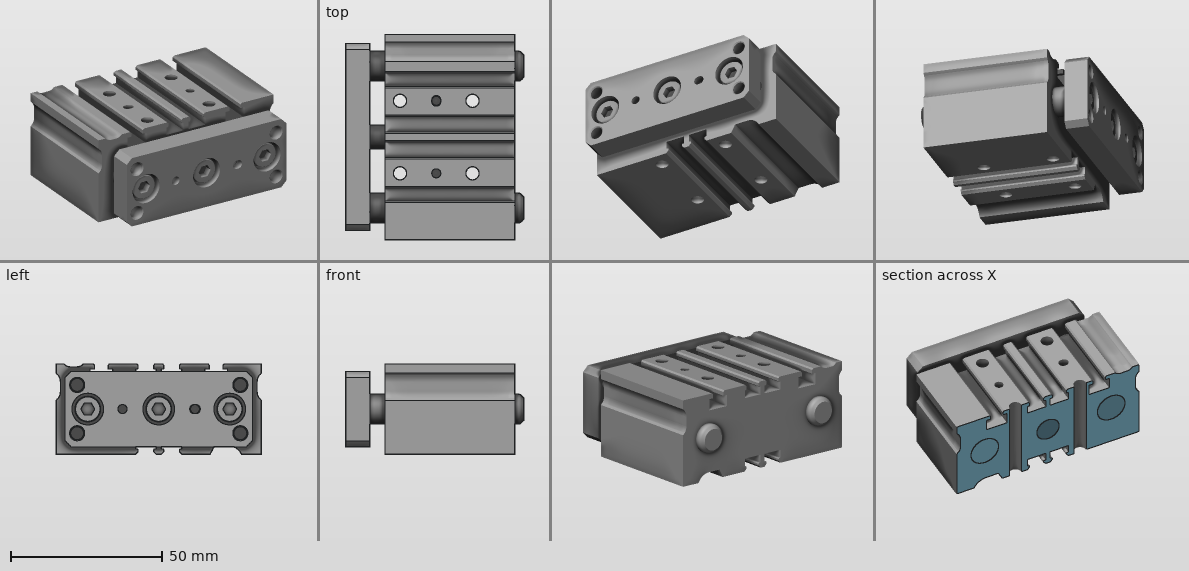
import cadquery as cq
import math


plate_thickness = 8.0
plate_gap = 5.0
housing_length = 43.0
housing_width = 68.0
housing_height = 30.0
guide_projection = 3.0

housing_front = plate_thickness + plate_gap
housing_back = housing_front + housing_length
guide_back = housing_back + guide_projection
half_width = housing_width / 2
axis_z = housing_height / 2

lip_thickness = 1.8
lip_top_chamfer = 0.5
lip_bottom_chamfer = 0.9
lip_inner_chamfer = 0.3
outer_slot_y = 19.0
outer_slot_mouth = 4.4
outer_slot_width = 7.4
outer_slot_depth = 5.7
inner_slot_y = 4.25
inner_slot_mouth = 5.1
inner_slot_width = 6.7
inner_slot_depth = 4.5

top_groove_y = 28.2
top_groove_width = 6.4
top_groove_floor = 2.3
top_groove_depth = 1.0

side_groove_z = 22.4
side_groove_height = 9.0
side_groove_floor = 3.4
side_groove_depth = 1.4
side_groove_chamfer = 0.75

bottom_groove_near_y = -17.0
bottom_groove_far_y = -27.4
bottom_groove_depth = 2.85
bottom_groove_near_run = 1.5
bottom_groove_far_run = 4.4

hole_row_y = 12.0
mount_hole_diameter = 4.3
mount_hole_pitch = 24.0
first_mount_hole_x = housing_front + 5.0
pin_diameter = 3.0
pin_slot_length = 3.5
pin_slot_depth = 3.0
pin_hole_depth = 5.0

plate_width = 62.0
plate_height = 25.0
plate_chamfer = 2.0
corner_hole_y = 27.0
corner_hole_offset_z = 8.0
corner_hole_diameter = 4.3
corner_hole_chamfer = 0.35

guide_y = 23.5
guide_diameter = 10.0
piston_rod_diameter = 8.0
piston_rod_insertion = 33.0
end_straight = 1.0
end_chamfer = 0.8
counterbore_diameter = 10.5
counterbore_depth = 5.0
shank_diameter = 5.0
head_diameter = 8.5
head_chamfer = 0.2
head_recess = 1.3
hex_across_flats = 4.0
hex_depth = 2.5


def across(x):
    """Plane across the X axis: local x is Y, local y is Z, extruding toward +X."""
    return cq.Workplane("YZ", origin=(x, 0, 0))


def along_housing(outline):
    """Extrude a closed outline in Y and Z over the housing length."""
    return outline.close().extrude(housing_length)


def t_slot(center_y, mouth, width, slot_depth, edge_chamfer, inner_chamfer, from_bottom=False):
    """T-shaped slot with chamfered lips, open at the top or bottom of the housing."""
    inner_lip = lip_thickness - inner_chamfer
    half = [
        (mouth / 2 + edge_chamfer, 0),
        (mouth / 2, edge_chamfer),
        (mouth / 2, inner_lip),
        (mouth / 2 + inner_chamfer, lip_thickness),
        (width / 2, lip_thickness),
        (width / 2, slot_depth),
    ]
    if inner_chamfer == 0:
        half.pop(3)
    both = half + [(-y, depth) for y, depth in reversed(half)]
    points = [
        (center_y + y, depth if from_bottom else housing_height - depth)
        for y, depth in both
    ]
    return along_housing(across(housing_front).polyline(points))


def arc_radius(run, rise):
    """Radius of an arc that starts along the run direction and covers run and rise."""
    return (run**2 + rise**2) / (2 * rise)


def arc_middle(run, rise):
    """Middle point, as run and rise, of the arc described by arc_radius."""
    radius = arc_radius(run, rise)
    half_angle = math.asin(run / radius) / 2
    return radius * math.sin(half_angle), radius * (1 - math.cos(half_angle))


def top_groove():
    """Shallow groove with a flat floor and curved sides in the top face."""
    floor = top_groove_floor / 2
    mouth = top_groove_width / 2
    floor_z = housing_height - top_groove_depth
    run, rise = arc_middle(mouth - floor, top_groove_depth)
    return along_housing(
        across(housing_front)
        .moveTo(top_groove_y - mouth, housing_height)
        .threePointArc((top_groove_y - floor - run, floor_z + rise), (top_groove_y - floor, floor_z))
        .lineTo(top_groove_y + floor, floor_z)
        .threePointArc((top_groove_y + floor + run, floor_z + rise), (top_groove_y + mouth, housing_height))
    )


def side_groove():
    """Groove in the -Y side with a flat floor, curved sides and chamfered edges."""
    mouth = side_groove_height / 2
    floor = side_groove_floor / 2
    bend = mouth - side_groove_chamfer
    floor_y = side_groove_depth - half_width
    bend_y = side_groove_chamfer - half_width
    run, rise = arc_middle(bend - floor, side_groove_depth - side_groove_chamfer)
    return along_housing(
        across(housing_front)
        .moveTo(-half_width, side_groove_z - mouth)
        .lineTo(bend_y, side_groove_z - bend)
        .threePointArc((floor_y - rise, side_groove_z - floor - run), (floor_y, side_groove_z - floor))
        .lineTo(floor_y, side_groove_z + floor)
        .threePointArc((floor_y - rise, side_groove_z + floor + run), (bend_y, side_groove_z + bend))
        .lineTo(-half_width, side_groove_z + mouth)
    )


def bottom_groove():
    """Groove in the underside: one sloping wall, a flat floor and one curved wall."""
    floor_end_y = bottom_groove_far_y + bottom_groove_far_run
    run, rise = arc_middle(bottom_groove_far_run, bottom_groove_depth)
    return along_housing(
        across(housing_front)
        .moveTo(bottom_groove_near_y, 0)
        .lineTo(bottom_groove_near_y - bottom_groove_near_run, bottom_groove_depth)
        .lineTo(floor_end_y, bottom_groove_depth)
        .threePointArc((floor_end_y - run, bottom_groove_depth - rise), (bottom_groove_far_y, 0))
    )


def make_housing():
    housing = across(housing_front).center(0, axis_z).rect(housing_width, housing_height)
    housing = housing.extrude(housing_length)

    for side in (-1, 1):
        outer_y = side * outer_slot_y
        inner_y = side * inner_slot_y
        housing = housing.cut(
            t_slot(outer_y, outer_slot_mouth, outer_slot_width, outer_slot_depth, lip_top_chamfer, 0)
        )
        for edge_chamfer, from_bottom in ((lip_top_chamfer, False), (lip_bottom_chamfer, True)):
            housing = housing.cut(
                t_slot(
                    inner_y,
                    inner_slot_mouth,
                    inner_slot_width,
                    inner_slot_depth,
                    edge_chamfer,
                    lip_inner_chamfer,
                    from_bottom,
                )
            )
    groove = side_groove()
    housing = housing.cut(groove).cut(groove.mirror("XZ"))
    housing = housing.cut(top_groove()).cut(bottom_groove())

    top = cq.Workplane("XY", origin=(0, 0, housing_height))
    last_mount_hole_x = first_mount_hole_x + mount_hole_pitch
    mount_points = [(x, y) for x in (first_mount_hole_x, last_mount_hole_x) for y in (-hole_row_y, hole_row_y)]
    housing = housing.cut(
        top.pushPoints(mount_points).circle(mount_hole_diameter / 2).extrude(-housing_height)
    )

    pin_x = first_mount_hole_x + mount_hole_pitch / 2
    pin_holes = top.pushPoints([(pin_x, -hole_row_y), (pin_x, hole_row_y)]).circle(pin_diameter / 2)
    housing = housing.cut(pin_holes.extrude(-pin_hole_depth))
    pin_slot = top.center(pin_x, hole_row_y).slot2D(pin_slot_length, pin_diameter, 90)
    housing = housing.cut(pin_slot.extrude(-pin_slot_depth))

    guide_bores = across(housing_front).pushPoints([(-guide_y, axis_z), (guide_y, axis_z)])
    housing = housing.cut(guide_bores.circle(guide_diameter / 2).extrude(housing_length))
    piston_bore = across(housing_front).center(0, axis_z).circle(piston_rod_diameter / 2)
    return housing.cut(piston_bore.extrude(piston_rod_insertion))


def make_plate():
    plate = across(0).center(0, axis_z).rect(plate_width, plate_height).extrude(plate_thickness)
    plate = plate.edges("|X").chamfer(plate_chamfer)

    front = cq.Workplane("YZ", origin=(0, 0, axis_z))
    rod_points = [(-guide_y, 0), (0, 0), (guide_y, 0)]
    plate = plate.cut(front.pushPoints(rod_points).circle(counterbore_diameter / 2).extrude(counterbore_depth))
    plate = plate.cut(front.pushPoints(rod_points).circle(shank_diameter / 2).extrude(plate_thickness))

    corner_hole_radius = corner_hole_diameter / 2
    for y in (-corner_hole_y, corner_hole_y):
        for z in (-corner_hole_offset_z, corner_hole_offset_z):
            hole = front.center(y, z).circle(corner_hole_radius).extrude(plate_thickness)
            mouth = cq.Solid.makeCone(
                corner_hole_radius + corner_hole_chamfer,
                corner_hole_radius,
                corner_hole_chamfer,
                cq.Vector(0, y, axis_z + z),
                cq.Vector(1, 0, 0),
            )
            plate = plate.cut(hole).cut(cq.Workplane(mouth))

    pin_holes = front.pushPoints([(-hole_row_y, 0), (hole_row_y, 0)]).circle(pin_diameter / 2)
    plate = plate.cut(pin_holes.extrude(pin_hole_depth))
    pin_slot = front.center(-hole_row_y, 0).slot2D(pin_slot_length, pin_diameter)
    return plate.cut(pin_slot.extrude(pin_slot_depth))


def screw_end(y):
    """Socket head in the plate counterbore and the shank that joins it to a rod."""
    base = cq.Workplane("YZ", origin=(0, y, axis_z))
    head_start = base.workplane(offset=head_recess)
    head = head_start.circle(head_diameter / 2).extrude(counterbore_depth - head_recess)
    head = head.faces("<X").edges().chamfer(head_chamfer)
    hex_across_corners = hex_across_flats / math.cos(math.pi / 6)
    head = head.cut(head_start.polygon(6, hex_across_corners).extrude(hex_depth))
    shank = base.workplane(offset=counterbore_depth).circle(shank_diameter / 2)
    return head.union(shank.extrude(plate_thickness - counterbore_depth))


def make_guide_rod(y):
    """Guide rod through the housing, its rear end rounded into a 45 degree chamfer."""
    radius = guide_diameter / 2
    chamfer_start = guide_back - end_chamfer
    round_start = housing_back + end_straight
    round_radius = (chamfer_start - round_start) / math.sin(math.pi / 4)
    mid_angle = math.pi / 8
    chamfer_radius = radius - round_radius * (1 - math.cos(math.pi / 4))
    round_middle = (
        round_start + round_radius * math.sin(mid_angle),
        radius - round_radius * (1 - math.cos(mid_angle)),
    )
    profile = (
        cq.Workplane("XY")
        .moveTo(plate_thickness, 0)
        .lineTo(plate_thickness, radius)
        .lineTo(round_start, radius)
        .threePointArc(round_middle, (chamfer_start, chamfer_radius))
        .lineTo(guide_back, chamfer_radius - end_chamfer)
        .lineTo(guide_back, 0)
        .close()
    )
    rod = profile.revolve(360, (0, 0, 0), (1, 0, 0)).translate((0, y, axis_z))
    return rod.union(screw_end(y))


def make_piston_rod():
    """Piston rod that ends inside the housing."""
    rod = across(plate_thickness).center(0, axis_z).circle(piston_rod_diameter / 2)
    return rod.extrude(plate_gap + piston_rod_insertion).union(screw_end(0))


housing = make_housing()
plate = make_plate()
piston_rod = make_piston_rod()
guide_rods = [make_guide_rod(y) for y in (-guide_y, guide_y)]

result = cq.Compound.makeCompound(
    [housing.val(), plate.val(), piston_rod.val(), *[rod.val() for rod in guide_rods]]
)